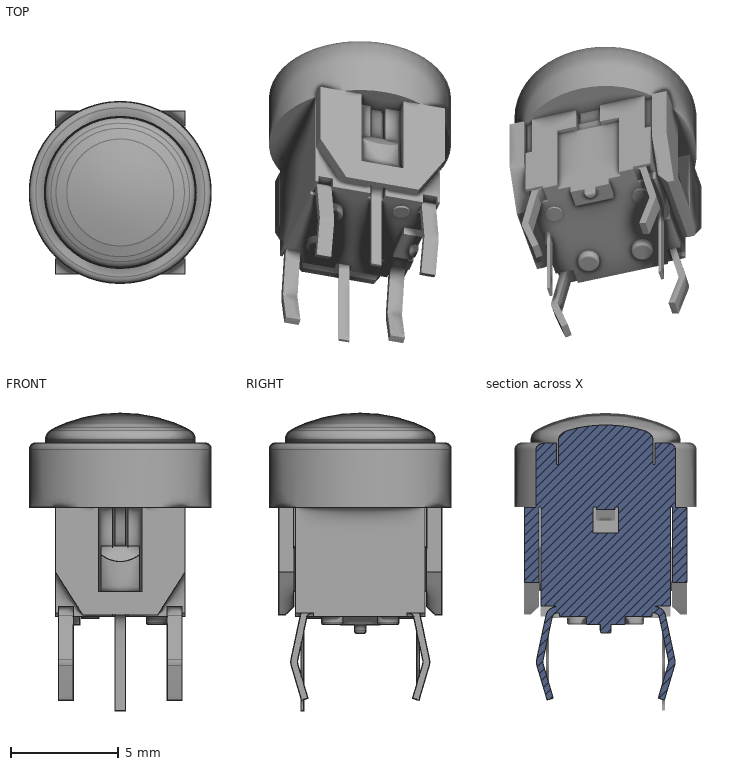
import cadquery as cq
import math


bezel_diameter = 8.5
bezel_bottom = 5.1
bezel_top = 8.11
bezel_fillet = 0.3
bezel_bore_diameter = 7.1
bore_depth = 1.0
button_radius = 3.5
button_shoulder_radius = 0.5
button_shoulder_z = 8.26
shoulder_end_angle = math.radians(61.5)
taper_radius, taper_z = 3.0, 8.83
dome_radius, dome_edge_z = 2.5, 9.05
dome_top = 9.5

housing_half = 3.025
pocket_half_width = 1.5
pocket_depth = 0.26
pocket_top = 3.92
channel_half_width = 0.585
channel_ledge_z = 4.48
channel_ledge_depth = 0.36
channel_depth = 0.56
wedge_half_width = 0.455
wedge_rise = 0.3
corner_rebate_depth = 0.3
corner_rebate_width = 0.3
corner_rebate_bottom = 2.79
tab_half_width = 0.92
tab_drop = 0.39
tab_inner_x = -1.88

plate_inner_y = 3.1
plate_outer_y = 3.81
plate_bottom = 0.08
plate_bottom_half_width = 1.76
plate_shoulder_z = 2.07
plate_chamfer_y = 0.4
plate_chamfer_z = 0.38
window_half_width = 1.025
window_bottom = 1.18

latch_radius = 1.85
latch_half_width = 0.9
latch_top = 3.3
latch_side_reach = 0.3
latch_slope = 1.364

pin_half_width = 0.25
pin_inner_y = 2.63
pin_outer_y = 2.77
groove_half_width = 0.37
front_pin_bottom = -4.4
back_pin_bottom = -3.9

leg_inner_x = 2.19
leg_width = 0.7
leg_thickness = 0.32
leg_upper_angle = math.radians(12)
leg_lower_angle = math.radians(16.5)
top_bend_radius = 0.54
leg_top = 0.475
leg_tail_y = 2.0
knee_radius = 0.6
knee_reach_y = 3.25
knee_z = -2.12
leg_lower_length = 1.69
leg_notch_inner_y = 2.18
leg_notch_height = 0.16

stub_radius = 0.5
stub_x, stub_y = 1.72, 1.3
stub_drop = 0.38
pad_radius = 0.4
pad_x, pad_y = -1.4, 2.1
pad_drop = 0.09
nub_radius = 0.27
nub_flat_half_width = 0.25
nub_bottom = -0.8
stub_fillet = 0.1
nub_fillet = 0.14


def box(x0, x1, y0, y1, z0, z1):
    return cq.Workplane("XY").box(x1 - x0, y1 - y0, z1 - z0, centered=False).translate((x0, y0, z0))


def at_both_y(solid):
    """The solid together with its mirror image across the XZ plane."""
    return solid.union(solid.mirror("XZ"))


def foot(radius, x, y, top, bottom):
    return cq.Workplane("XY", origin=(x, y, bottom)).circle(radius).extrude(top - bottom)


def make_bezel():
    bezel = (
        cq.Workplane("XY", origin=(0, 0, bezel_bottom))
        .circle(bezel_diameter / 2)
        .extrude(bezel_top - bezel_bottom)
        .faces(">Z").edges().fillet(bezel_fillet)
    )
    bore = (
        cq.Workplane("XY", origin=(0, 0, bezel_top - bore_depth))
        .circle(bezel_bore_diameter / 2)
        .extrude(bore_depth)
    )
    return bezel.cut(bore)


def make_button():
    shoulder_center = button_radius - button_shoulder_radius

    def shoulder_point(angle):
        return (
            shoulder_center + button_shoulder_radius * math.cos(angle),
            button_shoulder_z + button_shoulder_radius * math.sin(angle),
        )

    dome_rise = dome_top - dome_edge_z
    sphere_radius = (dome_radius**2 + dome_rise**2) / (2 * dome_rise)
    half_radius = dome_radius / 2
    dome_mid_z = dome_top - sphere_radius + math.sqrt(sphere_radius**2 - half_radius**2)
    base_z = bezel_top - bore_depth
    return (
        cq.Workplane("XZ")
        .moveTo(0, base_z)
        .lineTo(button_radius, base_z)
        .lineTo(button_radius, button_shoulder_z)
        .threePointArc(shoulder_point(shoulder_end_angle / 2), shoulder_point(shoulder_end_angle))
        .lineTo(taper_radius, taper_z)
        .lineTo(dome_radius, dome_edge_z)
        .threePointArc((half_radius, dome_mid_z), (0, dome_top))
        .close()
        .revolve(360, (0, 0, 0), (0, 1, 0))
    )


def make_housing():
    wall = -housing_half
    housing = box(wall, housing_half, wall, housing_half, 0, bezel_bottom)

    pocket_floor = wall + pocket_depth
    ledge_floor = wall + channel_ledge_depth
    channel_floor = wall + channel_depth
    housing = housing.cut(box(wall, pocket_floor, -pocket_half_width, pocket_half_width, 0, pocket_top))
    housing = housing.cut(
        box(wall, ledge_floor, -channel_half_width, channel_half_width, pocket_top, channel_ledge_z)
    )
    housing = housing.cut(
        box(wall, channel_floor, -channel_half_width, channel_half_width, channel_ledge_z, bezel_bottom)
    )
    wedge = (
        cq.Workplane("XZ", origin=(0, wedge_half_width, 0))
        .polyline([
            (channel_floor, channel_ledge_z),
            (channel_floor - wedge_rise, bezel_bottom),
            (channel_floor, bezel_bottom),
        ])
        .close()
        .extrude(2 * wedge_half_width)
    )
    housing = housing.union(wedge)

    rebate = box(
        wall, wall + corner_rebate_depth,
        housing_half - corner_rebate_width, housing_half,
        corner_rebate_bottom, bezel_bottom,
    )
    housing = housing.cut(at_both_y(rebate))

    groove = box(-groove_half_width, groove_half_width, pin_inner_y, housing_half, 0, bezel_bottom)
    housing = housing.cut(at_both_y(groove))

    slot = box(leg_inner_x, leg_inner_x + leg_width, leg_notch_inner_y, housing_half, 0, leg_top)
    notch = box(leg_inner_x, housing_half, leg_notch_inner_y, housing_half, 0, leg_notch_height)
    corner = at_both_y(slot.union(notch))
    housing = housing.cut(corner).cut(corner.mirror("YZ"))

    tab = box(pocket_floor, tab_inner_x, -tab_half_width, tab_half_width, -tab_drop, pocket_depth)
    return housing.union(tab)


def make_plate():
    plate = (
        cq.Workplane("XZ", origin=(0, plate_outer_y, 0))
        .polyline([
            (-plate_bottom_half_width, plate_bottom),
            (plate_bottom_half_width, plate_bottom),
            (housing_half, plate_shoulder_z),
            (housing_half, bezel_bottom),
            (-housing_half, bezel_bottom),
            (-housing_half, plate_shoulder_z),
        ])
        .close()
        .extrude(plate_outer_y - plate_inner_y)
    )
    lead_in = (
        cq.Workplane("YZ", origin=(-housing_half, 0, 0))
        .polyline([
            (plate_inner_y, plate_bottom),
            (plate_inner_y + plate_chamfer_y, plate_bottom),
            (plate_inner_y, plate_bottom + plate_chamfer_z),
        ])
        .close()
        .extrude(2 * housing_half)
    )
    window = box(
        -window_half_width, window_half_width, plate_inner_y, plate_outer_y, window_bottom, bezel_bottom
    )
    return plate.cut(lead_in).cut(window)


def make_latch():
    side_y = housing_half + latch_side_reach
    axis_y = side_y - math.sqrt(latch_radius**2 - latch_half_width**2)
    tip_y = axis_y + latch_radius
    cylinder = (
        cq.Workplane("XY", origin=(0, axis_y, window_bottom))
        .circle(latch_radius)
        .extrude(latch_top - window_bottom)
    )
    profile = (
        cq.Workplane("YZ", origin=(-latch_half_width, 0, 0))
        .polyline([
            (housing_half, window_bottom),
            (tip_y, window_bottom),
            (tip_y, latch_top - latch_slope * (tip_y - housing_half)),
            (housing_half, latch_top),
        ])
        .close()
        .extrude(2 * latch_half_width)
    )
    return cylinder.intersect(profile)


def make_pin(bottom):
    return box(-pin_half_width, pin_half_width, pin_inner_y, pin_outer_y, bottom, bezel_bottom)


def make_leg():
    knee = (knee_reach_y - knee_radius, knee_z)
    bend_z = leg_top - top_bend_radius
    run_offset = knee_radius - top_bend_radius
    bend_y = knee[0] + (
        (knee_z - bend_z) * math.sin(leg_upper_angle) + run_offset
    ) / math.cos(leg_upper_angle)
    bend = (bend_y, bend_z)

    def on_arc(center, radius, angle):
        return (center[0] + radius * math.cos(angle), center[1] + radius * math.sin(angle))

    def tip(radius):
        start = on_arc(knee, radius, -leg_lower_angle)
        return (
            start[0] - leg_lower_length * math.sin(leg_lower_angle),
            start[1] - leg_lower_length * math.cos(leg_lower_angle),
        )

    bend_mid_angle = (math.pi / 2 + leg_upper_angle) / 2
    knee_mid_angle = (leg_upper_angle - leg_lower_angle) / 2
    bend_inner = top_bend_radius - leg_thickness
    knee_inner = knee_radius - leg_thickness
    return (
        cq.Workplane("YZ", origin=(leg_inner_x, 0, 0))
        .moveTo(leg_tail_y, leg_top)
        .lineTo(bend_y, leg_top)
        .threePointArc(
            on_arc(bend, top_bend_radius, bend_mid_angle), on_arc(bend, top_bend_radius, leg_upper_angle)
        )
        .lineTo(*on_arc(knee, knee_radius, leg_upper_angle))
        .threePointArc(
            on_arc(knee, knee_radius, knee_mid_angle), on_arc(knee, knee_radius, -leg_lower_angle)
        )
        .lineTo(*tip(knee_radius))
        .lineTo(*tip(knee_inner))
        .lineTo(*on_arc(knee, knee_inner, -leg_lower_angle))
        .threePointArc(
            on_arc(knee, knee_inner, knee_mid_angle), on_arc(knee, knee_inner, leg_upper_angle)
        )
        .lineTo(*on_arc(bend, bend_inner, leg_upper_angle))
        .threePointArc(
            on_arc(bend, bend_inner, bend_mid_angle), (bend_y, leg_top - leg_thickness)
        )
        .lineTo(leg_tail_y, leg_top - leg_thickness)
        .close()
        .extrude(leg_width)
    )


def make_feet():
    stub = foot(stub_radius, stub_x, stub_y, 0, -stub_drop).faces("<Z").edges().fillet(stub_fillet)
    pad = foot(pad_radius, pad_x, pad_y, 0, -pad_drop)

    flat_x = -housing_half + pocket_depth
    nub_x = flat_x + math.sqrt(nub_radius**2 - nub_flat_half_width**2)
    nub = foot(nub_radius, nub_x, 0, -tab_drop, nub_bottom)
    nub = nub.intersect(box(flat_x, 0, -nub_radius, nub_radius, nub_bottom, -tab_drop))
    nub = nub.faces("<Z").edges().fillet(nub_fillet)
    return at_both_y(stub).union(at_both_y(pad)).union(nub)


legs = at_both_y(make_leg())
result = (
    make_housing()
    .union(make_bezel())
    .union(make_button())
    .union(at_both_y(make_plate()))
    .union(at_both_y(make_latch()))
    .union(make_pin(back_pin_bottom))
    .union(make_pin(front_pin_bottom).mirror("XZ"))
    .union(legs)
    .union(legs.mirror("YZ"))
    .union(make_feet())
)